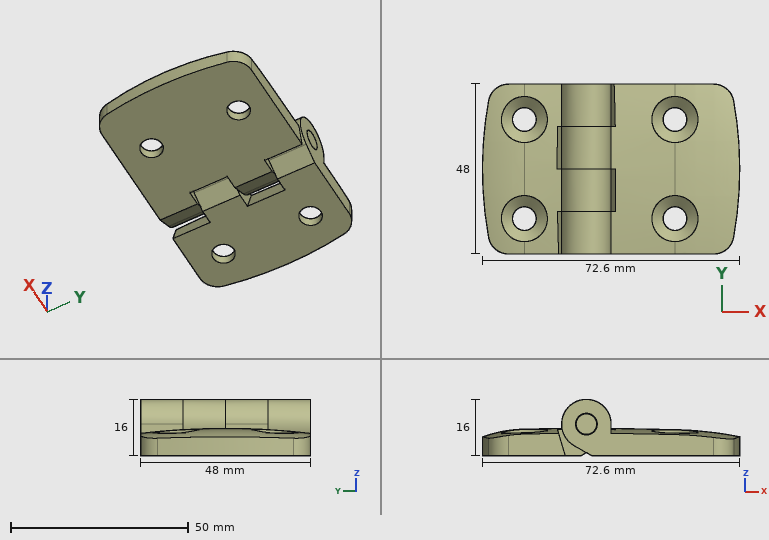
import cadquery as cq
import math

hinge_width = 48.0
hinge_height = 16.0
hinge_length = 72.6
half_width = hinge_width / 2

barrel_diameter = 14.0
barrel_radius = barrel_diameter / 2
axis_height = hinge_height - barrel_radius
pin_diameter = 5.9
bore_diameter = 6.0
knuckle_count = 4
knuckle_width = hinge_width / knuckle_count
underside_angle = 30.0

wall_foot = 5.95
wall_lean = 16.5

short_leaf_length = 29.3
long_leaf_length = hinge_length - short_leaf_length
end_bulge_radius = 108.9
corner_radius = 5.8

crown_height = 7.9
crown_radius_across = 203.25
crown_fall = 1.1
short_leaf_crown_radius = 36.3
long_leaf_crown_radius = 100.9

short_leaf_hole_x = 17.5
long_leaf_hole_x = 25.0
hole_spacing = 27.95
hole_diameter = 6.6
sink_diameter = 13.0
sink_angle = 90.0
sink_top = 6.4

overshoot = 1.45
cutter_depth = 7.25


def plate(length):
    """Leaf of constant thickness with a bulged outer end and rounded corners, before the dome is cut."""
    end_sagitta = end_bulge_radius - math.sqrt(end_bulge_radius**2 - half_width**2)
    corner_x = length - end_sagitta
    return (
        cq.Workplane("XY")
        .moveTo(wall_foot, -half_width)
        .lineTo(corner_x, -half_width)
        .threePointArc((length, 0), (corner_x, half_width))
        .lineTo(wall_foot, half_width)
        .close()
        .extrude(axis_height)
        .edges("|Z")
        .edges(">X")
        .fillet(corner_radius)
    )


def dome_cutter(length, hole_x, crown_radius):
    """Everything above the dome: a shallow arc swept outward along a line and a tangent arc."""
    fall = math.radians(crown_fall)
    hole_z = crown_height - hole_x * math.tan(fall)
    centre_x = hole_x - crown_radius * math.sin(fall)
    centre_z = hole_z - crown_radius * math.cos(fall)
    end_angle = math.asin((length + overshoot - centre_x) / crown_radius)
    mid_angle = (fall + end_angle) / 2

    def crown_point(angle):
        return (centre_x + crown_radius * math.sin(angle), centre_z + crown_radius * math.cos(angle))

    path = (
        cq.Workplane("XZ")
        .moveTo(0, crown_height)
        .lineTo(hole_x, hole_z)
        .threePointArc(crown_point(mid_angle), crown_point(end_angle))
    )
    reach = half_width + overshoot
    edge_drop = crown_radius_across - math.sqrt(crown_radius_across**2 - reach**2)
    section_plane = cq.Plane(
        origin=(0, 0, crown_height), xDir=(0, 1, 0), normal=(math.cos(fall), 0, -math.sin(fall))
    )
    return (
        cq.Workplane(section_plane)
        .moveTo(-reach, -edge_drop)
        .threePointArc((0, 0), (reach, -edge_drop))
        .lineTo(reach, cutter_depth)
        .lineTo(-reach, cutter_depth)
        .close()
        .sweep(path)
    )


def screw_hole_cutter():
    """Through hole, cone and straight rim as one turned shape on the Z axis."""
    hole_radius = hole_diameter / 2
    sink_radius = sink_diameter / 2
    cone_depth = (sink_radius - hole_radius) / math.tan(math.radians(sink_angle / 2))
    return (
        cq.Workplane("XZ")
        .polyline(
            [
                (0, -overshoot),
                (hole_radius, -overshoot),
                (hole_radius, sink_top - cone_depth),
                (sink_radius, sink_top),
                (sink_radius, hinge_height),
                (0, hinge_height),
            ]
        )
        .close()
        .revolve(360, (0, 0, 0), (0, 1, 0))
    )


def knuckle_start(index):
    """Y of the lower side of a knuckle, counted from the -Y end."""
    return index * knuckle_width - half_width


def extrude_knuckle(profile, index):
    """Extrude an XZ profile over the width of one knuckle."""
    return profile.extrude(-knuckle_width).translate((0, knuckle_start(index), 0))


def clearance(index):
    """Wedge that leans the plate's inner wall back, away from an opposite knuckle."""
    wall_top = wall_foot + axis_height * math.tan(math.radians(wall_lean))
    profile = (
        cq.Workplane("XZ")
        .polyline([(wall_foot, 0), (wall_top, axis_height), (wall_foot, axis_height)])
        .close()
    )
    return extrude_knuckle(profile, index)


def knuckle(index):
    """Barrel segment with the foot that joins it to the plate."""
    slope = math.radians(underside_angle)
    tangent_x = -barrel_radius * math.sin(slope)
    tangent_z = axis_height - barrel_radius * math.cos(slope)
    foot_x = tangent_x + tangent_z / math.tan(slope)
    profile = (
        cq.Workplane("XZ")
        .moveTo(foot_x, 0)
        .lineTo(barrel_radius, 0)
        .lineTo(barrel_radius, axis_height)
        .threePointArc((0, hinge_height), (tangent_x, tangent_z))
        .close()
    )
    return extrude_knuckle(profile, index)


def axis_cylinder(diameter):
    """Cylinder on the pin axis over the full hinge width."""
    return (
        cq.Workplane("XZ", origin=(0, -half_width, axis_height))
        .circle(diameter / 2)
        .extrude(-hinge_width)
    )


def leaf(length, hole_x, crown_radius, own_knuckles):
    """One leaf reaching toward +X, with its barrel segments."""
    body = plate(length).cut(dome_cutter(length, hole_x, crown_radius))
    for index in range(knuckle_count):
        if index in own_knuckles:
            body = body.union(knuckle(index))
        else:
            body = body.cut(clearance(index))
    for hole_y in (-hole_spacing / 2, hole_spacing / 2):
        body = body.cut(screw_hole_cutter().translate((hole_x, hole_y, 0)))
    return body.cut(axis_cylinder(bore_diameter))


long_leaf = leaf(long_leaf_length, long_leaf_hole_x, long_leaf_crown_radius, (0, 2))
short_leaf = leaf(short_leaf_length, short_leaf_hole_x, short_leaf_crown_radius, (1, 3)).mirror("YZ")
pin = axis_cylinder(pin_diameter)

result = cq.Compound.makeCompound([long_leaf.val(), short_leaf.val(), pin.val()])